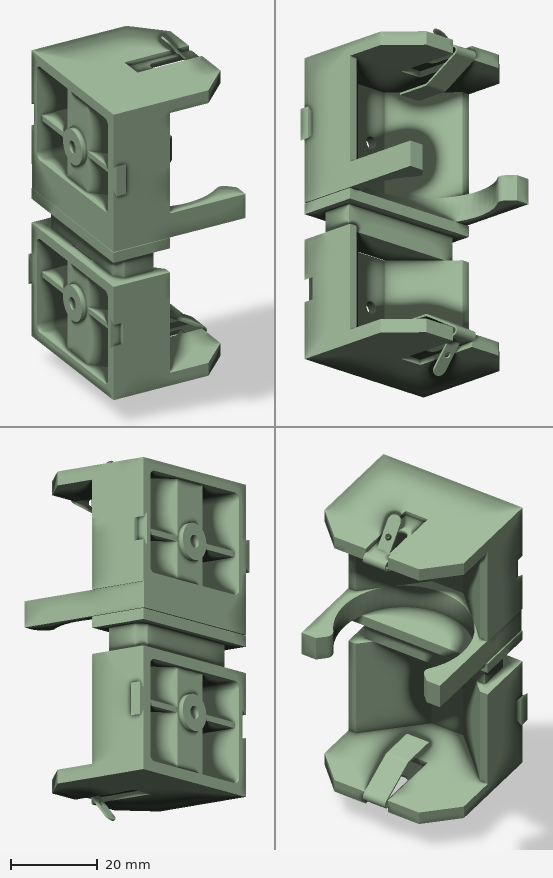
import cadquery as cq
import math

total_height = 84.9
total_width = 40.7
body_width = 38.05
body_depth = 15.0
holders_span = 73.6
holder_height = 29.2
rim = 2.55

plate_thickness = 3.3
plate_depth = 32.7
plate_chamfer = 7.5
notch_width = 6.0
notch_front = 15.5

pocket_radius = 1.5
flat_front = 1.4
flat_width = 9.4
cradle_wall = 1.0
cradle_slope = 45.0
rib_thickness = 1.4
feature_offset = 2.0

flange_diameter = 8.75
flange_thickness = flat_front
shank_diameter = 6.3
bore_diameter = 3.05

dovetail_depth = 2.55
dovetail_wide = 7.7
dovetail_narrow = 5.4

sheet = 0.5
sheet_drop = 1.5
curl_radius = 1.0
leg_angle = 29.0
bend_radius = 1.7
leg_bend = 23.8
tab_hinge = 29.9
tab_width = 3.4
tab_angle = 50.0
slot_end = 20.9
tab_hole_diameter = 1.6
tab_hole_distance = 3.65

fork_left_inset = 0.25
fork_thickness = 6.2
fork_depth = 35.1
fork_gap = 0.2
fork_arc_radius = 16.3
fork_arc_center = 21.1
fork_tip_width = 3.9
fork_tip_radius = 1.9
collar_thickness = 2.6
neck_front = rim
neck_back = 12.15
neck_chamfer_x = 2.2
neck_chamfer_y = 1.8

half_width = body_width / 2
dovetail_reach = (total_width - body_width) / 2
holder_end = holders_span / 2
half_pocket = half_width - rim
holder_base = holder_end - holder_height
feature_z = holder_base + holder_height / 2 - feature_offset
strip_z = holder_end - sheet_drop
plate_underside = holder_end - plate_thickness
fork_bottom = holder_base - fork_thickness
collar_top = fork_bottom - fork_gap
collar_bottom = collar_top - collar_thickness


def prism(points, bottom, height):
    """Extrude a closed XY outline upward from the given Z."""
    return cq.Workplane("XY", origin=(0, 0, bottom)).polyline(points).close().extrude(height)


def block(x_range, y_range, z_range):
    """Axis-aligned box between the given limits."""
    sizes = [high - low for low, high in (x_range, y_range, z_range)]
    corner = (x_range[0], y_range[0], z_range[0])
    return cq.Workplane("XY").box(*sizes, centered=False).translate(corner)


def cylinder_y(diameter, front, back):
    """Cylinder along Y through the eyelet's centre."""
    face = cq.Workplane("XZ", origin=(0, front, feature_z))
    return face.circle(diameter / 2).extrude(front - back)


def turned_over(shape):
    """Copy for the lower half: half a turn about the Y axis."""
    return shape.rotate((0, 0, 0), (0, 1, 0), 180)


def front_pocket():
    """Rounded front pocket whose back follows the cradle wall, less the rib across it."""
    height = holder_height - 2 * rim
    center_z = holder_base + holder_height / 2
    opening = cq.Workplane("XZ", origin=(0, 0, center_z)).rect(2 * half_pocket, height)
    opening = opening.extrude(-body_depth).edges("|Y").fillet(pocket_radius)
    side_width = half_pocket - flat_width / 2
    side_back = flat_front + side_width * math.tan(math.radians(cradle_slope))
    outline = [
        (-half_pocket, 0),
        (half_pocket, 0),
        (half_pocket, side_back),
        (flat_width / 2, flat_front),
        (-flat_width / 2, flat_front),
        (-half_pocket, side_back),
    ]
    half_rib = rib_thickness / 2
    rib = block(
        (-half_pocket, half_pocket),
        (flat_front, body_depth),
        (feature_z - half_rib, feature_z + half_rib),
    )
    return opening.intersect(prism(outline, holder_base, holder_height)).cut(rib)


def rear_cradle():
    """Trough with sloping sides in the back, open at the holder's inner end."""
    floor = flat_front + cradle_wall
    half_floor = flat_width / 2 - cradle_wall * math.tan(math.radians(cradle_slope / 2))
    half_mouth = half_floor + (body_depth - floor) / math.tan(math.radians(cradle_slope))
    outline = [
        (-half_floor, floor),
        (half_floor, floor),
        (half_mouth, body_depth),
        (-half_mouth, body_depth),
    ]
    return prism(outline, holder_base, plate_underside - holder_base)


def dovetail(root_x):
    """Dovetail prism that widens toward +X from its narrow root."""
    outline = [
        (root_x, feature_z - dovetail_narrow / 2),
        (root_x + dovetail_reach, feature_z - dovetail_wide / 2),
        (root_x + dovetail_reach, feature_z + dovetail_wide / 2),
        (root_x, feature_z + dovetail_narrow / 2),
    ]
    return cq.Workplane("XZ").polyline(outline).close().extrude(-dovetail_depth)


def end_plate():
    """End plate with chamfered rear corners and the clip notch."""
    shoulder = plate_depth - plate_chamfer
    half_end = half_width - plate_chamfer
    outline = [
        (-half_width, 0),
        (half_width, 0),
        (half_width, shoulder),
        (half_end, plate_depth),
        (-half_end, plate_depth),
        (-half_width, shoulder),
    ]
    notch = block(
        (-notch_width / 2, notch_width / 2),
        (notch_front, plate_depth),
        (plate_underside, holder_end),
    )
    return prism(outline, plate_underside, plate_thickness).cut(notch)


def make_holder():
    body = block((-half_width, half_width), (0, body_depth), (holder_base, holder_end))
    body = body.cut(rear_cradle()).union(end_plate())
    body = body.cut(front_pocket())
    body = body.cut(cylinder_y(shank_diameter, 0, body_depth))
    tongue = dovetail(half_width)
    groove = dovetail(-half_width)
    return body.union(tongue).cut(groove)


def make_eyelet():
    """Flange on the front of the cradle wall and a shank through it, with a bore."""
    front = flat_front - flange_thickness
    back = flat_front + cradle_wall
    flange = cylinder_y(flange_diameter, front, flat_front)
    shank = cylinder_y(shank_diameter, flat_front, back)
    return flange.union(shank).cut(cylinder_y(bore_diameter, front, back))


def arc_point(center, radius, angle):
    """(Y, Z) on a circle, with the angle measured from straight up toward +Y."""
    return center[0] + radius * math.sin(angle), center[1] + radius * math.cos(angle)


def clip_strip():
    """Flat strip, curl around the plate's edge, sloping leg and straight leg."""
    slope = math.radians(leg_angle)
    curl_turn = math.pi - slope
    curl_center = (plate_depth, strip_z - curl_radius)
    slope_start = arc_point(curl_center, curl_radius, curl_turn)
    leg_z = slope_start[1] - (slope_start[0] - leg_bend) * math.tan(slope)
    bend_center = (leg_bend - bend_radius * math.tan(slope / 2), leg_z + bend_radius)
    half = sheet / 2
    outer_curl = curl_radius + half
    inner_curl = curl_radius - half
    outer_bend = bend_radius + half
    inner_bend = bend_radius - half
    profile = (
        cq.Workplane("YZ", origin=(-notch_width / 2, 0, 0))
        .moveTo(notch_front, strip_z + half)
        .lineTo(plate_depth, strip_z + half)
        .threePointArc(
            arc_point(curl_center, outer_curl, curl_turn / 2),
            arc_point(curl_center, outer_curl, curl_turn),
        )
        .lineTo(*arc_point(bend_center, outer_bend, curl_turn))
        .threePointArc(
            arc_point(bend_center, outer_bend, math.pi - slope / 2),
            arc_point(bend_center, outer_bend, math.pi),
        )
        .lineTo(body_depth, leg_z - half)
        .lineTo(body_depth, leg_z + half)
        .lineTo(*arc_point(bend_center, inner_bend, math.pi))
        .threePointArc(
            arc_point(bend_center, inner_bend, math.pi - slope / 2),
            arc_point(bend_center, inner_bend, curl_turn),
        )
        .lineTo(*arc_point(curl_center, inner_curl, curl_turn))
        .threePointArc(
            arc_point(curl_center, inner_curl, curl_turn / 2),
            arc_point(curl_center, inner_curl, 0),
        )
        .lineTo(notch_front, strip_z - half)
        .close()
    )
    return profile.extrude(notch_width)


def tongue_outline(plane, length):
    """Strip of the tab's width with a round end, along the plane's local y."""
    half = tab_width / 2
    return (
        cq.Workplane(plane)
        .moveTo(-half, 0)
        .lineTo(-half, length - half)
        .threePointArc((0, length), (half, length - half))
        .lineTo(half, 0)
        .close()
    )


def make_clip():
    hinge = (0, tab_hinge, strip_z)
    slot_plane = cq.Plane(origin=hinge, xDir=(-1, 0, 0), normal=(0, 0, 1))
    slot = tongue_outline(slot_plane, tab_hinge - slot_end).extrude(sheet / 2, both=True)

    rise = math.radians(tab_angle)
    tab_plane = cq.Plane(origin=hinge, xDir=(-1, 0, 0), normal=(0, math.sin(rise), math.cos(rise)))
    tip_rise = total_height / 2 - strip_z - sheet / 2 * math.cos(rise)
    tab = tongue_outline(tab_plane, tip_rise / math.sin(rise)).extrude(sheet / 2, both=True)
    hole = cq.Workplane(tab_plane).center(0, tab_hole_distance).circle(tab_hole_diameter / 2)
    tab = tab.cut(hole.extrude(sheet, both=True))
    return clip_strip().cut(slot).union(tab)


def fork():
    """Plate with two prongs around a round opening; the prong tips slope in at 45 degrees."""
    left = fork_left_inset - half_width
    plate = block((left, half_width), (0, fork_depth), (fork_bottom, holder_base))
    half_mouth = half_width - fork_tip_width
    mouth_outline = [
        (-half_mouth, fork_depth),
        (half_mouth, fork_depth),
        (0, fork_depth - half_mouth),
    ]
    mouth = prism(mouth_outline, fork_bottom, fork_thickness)
    opening = cq.Workplane("XY", origin=(0, fork_arc_center, fork_bottom))
    opening = opening.circle(fork_arc_radius).extrude(fork_thickness)
    prongs = plate.cut(mouth).cut(opening)
    slope_offset = fork_depth - half_mouth - fork_arc_center
    lip_x = (math.sqrt(2 * fork_arc_radius**2 - slope_offset**2) - slope_offset) / 2
    lip_y = lip_x + fork_depth - half_mouth
    lip_margin = 0.85
    lips = cq.selectors.BoxSelector(
        (-half_mouth, lip_y - lip_margin, fork_bottom - lip_margin),
        (half_mouth, lip_y + lip_margin, holder_base + lip_margin),
    )
    return prongs.edges("|Z").edges(lips).fillet(fork_tip_radius)


def make_collar():
    return block((-half_width, half_width), (0, body_depth), (collar_bottom, collar_top))


def make_neck():
    """Block with both front corners bevelled."""
    bevel_x = half_pocket - neck_chamfer_x
    bevel_y = neck_front + neck_chamfer_y
    outline = [
        (-bevel_x, neck_front),
        (bevel_x, neck_front),
        (half_pocket, bevel_y),
        (half_pocket, neck_back),
        (-half_pocket, neck_back),
        (-half_pocket, bevel_y),
    ]
    bottom = -holder_base
    return prism(outline, bottom, collar_bottom - bottom)


holder = make_holder()
upper_holder = holder.union(fork())
lower_holder = turned_over(holder)
bodies = [upper_holder.val(), lower_holder.val(), make_collar().val(), make_neck().val()]
for upper in (make_eyelet(), make_clip()):
    bodies.append(upper.val())
    bodies.append(turned_over(upper).val())

result = cq.Compound.makeCompound(bodies)